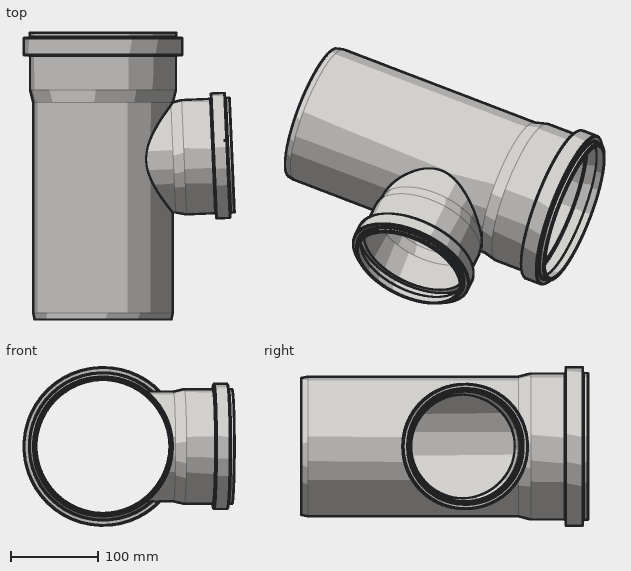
import cadquery as cq
import math

run_length = 329.0
run_outer_dia = 160.2
run_bore_dia = 152.3
spigot_tip_dia = 157.3
spigot_taper_length = 7.5
run_flare_start = 248.7
run_flare_end = 263.2
run_ring_start = 301.7
run_ring_end = 324.0
run_socket_dia = 167.8
run_socket_bore_dia = 160.5
run_lip_dia = 168.5
run_lip_bore_dia = 161.2
run_ring_dia = 182.0
run_groove_dia = 174.7

branch_lean = 2.5
branch_origin_y = 182.0
branch_length = 148.5
branch_outer_dia = 126.0
branch_bore_dia = 118.8
branch_flare_start = 80.5
branch_flare_end = 93.0
branch_ring_start = 125.7
branch_ring_end = 144.0
branch_socket_dia = 131.5
branch_socket_bore_dia = 125.7
branch_lip_dia = 132.0
branch_lip_bore_dia = 126.0
branch_ring_dia = 143.8
branch_groove_dia = 138.0

ring_bevel = 1.0
groove_side_wall = 4.0
mouth_chamfer = 0.82


def revolve_profile(plane, stations):
    """Solid of revolution about the plane's local Y, from (distance, diameter) stations."""
    profile = [(diameter / 2, distance) for distance, diameter in stations]
    start = stations[0][0]
    end = stations[-1][0]
    outline = [(0, start)] + profile + [(0, end)]
    return cq.Workplane(plane).polyline(outline).close().revolve(360, (0, 0), (0, 1))


def socket_outside(flare_start, flare_end, ring_start, ring_end, end, pipe, socket, ring, lip):
    """Outer stations: flare, socket, raised ring bevelled at root and rim, chamfered lip."""
    return [
        (flare_start, pipe),
        (flare_end, socket),
        (ring_start, socket),
        (ring_start + ring_bevel, socket + 2 * ring_bevel),
        (ring_start + ring_bevel, ring - 2 * ring_bevel),
        (ring_start + 2 * ring_bevel, ring),
        (ring_end - 2 * ring_bevel, ring),
        (ring_end - ring_bevel, ring - 2 * ring_bevel),
        (ring_end - ring_bevel, lip + 2 * ring_bevel),
        (ring_end, lip),
        (end - mouth_chamfer, lip),
        (end, lip - 2 * mouth_chamfer),
    ]


def socket_inside(flare_start, flare_end, ring_start, ring_end, end, bore, socket, groove, lip):
    """Inner stations: flare, socket bore, seal groove behind the ring, lip bore."""
    return [
        (flare_start, bore),
        (flare_end, socket),
        (ring_start + groove_side_wall, socket),
        (ring_start + groove_side_wall, groove),
        (ring_end - groove_side_wall, groove),
        (ring_end - groove_side_wall, lip),
        (end, lip),
    ]


run_plane = cq.Plane(origin=(0, 0, 0), xDir=(1, 0, 0), normal=(0, 0, 1))
lean = math.radians(branch_lean)
branch_plane = cq.Plane(
    origin=(0, branch_origin_y, 0),
    xDir=(math.sin(lean), -math.cos(lean), 0),
    normal=(0, 0, 1),
)

run_layout = (run_flare_start, run_flare_end, run_ring_start, run_ring_end, run_length)
branch_layout = (branch_flare_start, branch_flare_end, branch_ring_start, branch_ring_end, branch_length)

spigot = [(0, spigot_tip_dia), (spigot_taper_length, run_outer_dia)]
run_body = revolve_profile(
    run_plane,
    spigot + socket_outside(*run_layout, run_outer_dia, run_socket_dia, run_ring_dia, run_lip_dia),
)
branch_body = revolve_profile(
    branch_plane,
    [(0, branch_outer_dia)]
    + socket_outside(*branch_layout, branch_outer_dia, branch_socket_dia, branch_ring_dia, branch_lip_dia),
)

run_bore = revolve_profile(
    run_plane,
    [(0, run_bore_dia)]
    + socket_inside(*run_layout, run_bore_dia, run_socket_bore_dia, run_groove_dia, run_lip_bore_dia),
)
branch_bore = revolve_profile(
    branch_plane,
    [(0, branch_bore_dia)]
    + socket_inside(
        *branch_layout, branch_bore_dia, branch_socket_bore_dia, branch_groove_dia, branch_lip_bore_dia
    ),
)

result = run_body.union(branch_body).cut(run_bore).cut(branch_bore)